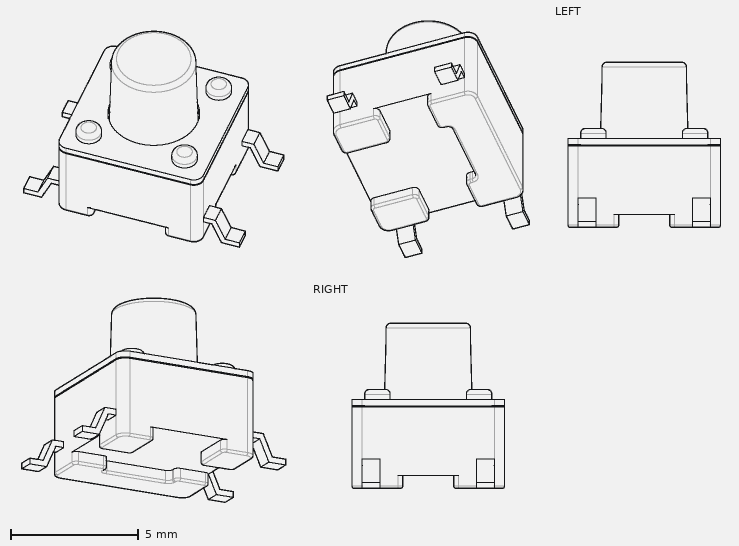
import cadquery as cq
import math

BODY_SIDE = 6.0
BODY_HALF = BODY_SIDE / 2
CORNER_RADIUS = 0.405
BASE_HEIGHT = 3.2
BOTTOM_FILLET = 0.1

RECESS_DEPTH = 0.5
CHANNEL_WIDTH = 2.0
POCKET_WIDTH = 3.0
POCKET_BACK_Y = POCKET_WIDTH / 2
RECESS_CORNER_RADIUS = 0.2

COVER_TOP = 3.5
COVER_GAP = 0.045
COVER_BOTTOM = BASE_HEIGHT + COVER_GAP
COVER_HOLE_RADIUS = 1.8

POST_RADIUS = 0.5
POST_PITCH = 4.0
POST_TOP = 3.9
POST_FILLET = 0.2

LEAD_TIP_X = 4.5
LEAD_THICKNESS = 0.24
LEAD_WIDTH = 0.7
LEAD_TOP = 1.15
LEAD_UPPER_BEND_X = 3.5
LEAD_LOWER_BEND_X = 3.91
LEAD_CENTER_Y = BODY_HALF - CORNER_RADIUS - LEAD_WIDTH / 2

BUTTON_TOP = 6.5
BUTTON_TOP_RADIUS = 1.66
BUTTON_DRAFT_DEGREES = 1.6
BUTTON_FILLET = 0.2


def rounded_square(bottom, top):
    """Square slab with the outline of the housing."""
    slab = cq.Workplane("XY").workplane(offset=bottom).rect(BODY_SIDE, BODY_SIDE).extrude(top - bottom)
    return slab.edges("|Z").fillet(CORNER_RADIUS)


def make_recess():
    """Volume under the base; its ends reach past the walls that it opens through."""
    channel = cq.Workplane("XY").rect(2 * BODY_SIDE, CHANNEL_WIDTH).extrude(RECESS_DEPTH)
    pocket_length = BODY_SIDE + POCKET_BACK_Y
    pocket = (
        cq.Workplane("XY")
        .center(0, POCKET_BACK_Y - pocket_length / 2)
        .rect(POCKET_WIDTH, pocket_length)
        .extrude(RECESS_DEPTH)
    )
    return channel.union(pocket)


def make_base():
    """Block with the recess cut into its underside and all leg edges rounded."""
    block = cq.Workplane("XY").rect(BODY_SIDE, BODY_SIDE).extrude(BASE_HEIGHT).cut(make_recess())
    recess_edges = cq.selectors.BoxSelector(
        (-BODY_SIDE, -BODY_SIDE, 0), (BODY_SIDE, BODY_SIDE, RECESS_DEPTH)
    )
    block = block.edges("|Z").edges(recess_edges).fillet(RECESS_CORNER_RADIUS)
    block = block.intersect(rounded_square(0, BASE_HEIGHT))
    return block.faces("<Z").edges().fillet(BOTTOM_FILLET)


def make_cover():
    """Plate with a clearance hole for the button."""
    plate = rounded_square(COVER_BOTTOM, COVER_TOP)
    return plate.faces(">Z").workplane(origin=(0, 0, 0)).hole(2 * COVER_HOLE_RADIUS)


def make_posts():
    """Four round posts with rounded heads, one near each corner."""
    posts = (
        cq.Workplane("XY")
        .workplane(offset=BASE_HEIGHT)
        .rect(POST_PITCH, POST_PITCH, forConstruction=True)
        .vertices()
        .circle(POST_RADIUS)
        .extrude(POST_TOP - BASE_HEIGHT)
    )
    return posts.faces(">Z").edges().fillet(POST_FILLET)


def make_lead(center_y):
    """Lead on the +X side: shelf, sloping leg and foot, all of one thickness."""
    slope_run = LEAD_LOWER_BEND_X - LEAD_UPPER_BEND_X
    slope_rise = LEAD_TOP - LEAD_THICKNESS
    bend_angle = math.atan2(slope_rise, slope_run)
    bend_shift = LEAD_THICKNESS * math.tan(bend_angle / 2)
    profile = [
        (BODY_HALF, LEAD_TOP),
        (LEAD_UPPER_BEND_X, LEAD_TOP),
        (LEAD_LOWER_BEND_X, LEAD_THICKNESS),
        (LEAD_TIP_X, LEAD_THICKNESS),
        (LEAD_TIP_X, 0),
        (LEAD_LOWER_BEND_X - bend_shift, 0),
        (LEAD_UPPER_BEND_X - bend_shift, LEAD_TOP - LEAD_THICKNESS),
        (BODY_HALF, LEAD_TOP - LEAD_THICKNESS),
    ]
    lead = cq.Workplane("XZ").polyline(profile).close().extrude(LEAD_WIDTH / 2, both=True)
    return lead.translate((0, center_y, 0))


def make_housing():
    """Base, cover, posts and leads as one solid."""
    housing = make_base().union(make_posts()).union(make_cover())
    for center_y in (-LEAD_CENTER_Y, LEAD_CENTER_Y):
        lead = make_lead(center_y)
        housing = housing.union(lead).union(lead.mirror("YZ"))
    return housing


def make_button():
    """Plunger that narrows towards a rounded top edge."""
    height = BUTTON_TOP - BASE_HEIGHT
    bottom_radius = BUTTON_TOP_RADIUS + height * math.tan(math.radians(BUTTON_DRAFT_DEGREES))
    button = (
        cq.Workplane("XY")
        .workplane(offset=BASE_HEIGHT)
        .circle(bottom_radius)
        .extrude(height, taper=BUTTON_DRAFT_DEGREES)
    )
    return button.faces(">Z").edges().fillet(BUTTON_FILLET)


housing = make_housing()
button = make_button()
result = cq.Compound.makeCompound([housing.val(), button.val()])